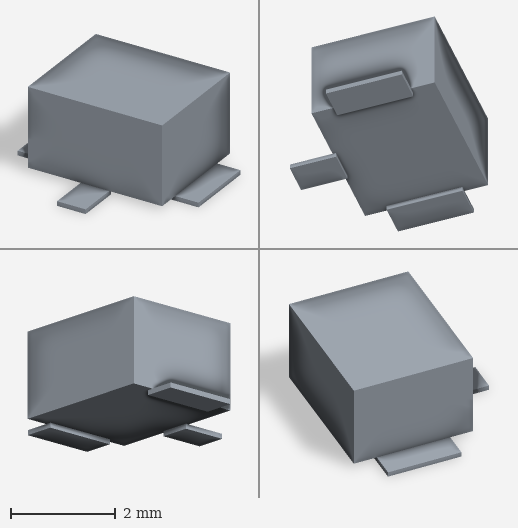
import cadquery as cq

overall_length = 4.04
overall_width = 3.37
overall_height = 1.85

housing_length = 3.0
housing_width = 2.5

terminal_thickness = 0.1
terminal_width = 0.64
side_terminal_length = 1.54
front_terminal_length = 0.937

housing_height = overall_height - terminal_thickness
front_terminal_tip_y = housing_width / 2 - overall_width
side_terminal_x = (overall_length - terminal_width) / 2


def make_housing():
    """Plain block resting on top of the terminals."""
    return (
        cq.Workplane("XY")
        .workplane(offset=terminal_thickness)
        .rect(housing_length, housing_width)
        .extrude(housing_height)
    )


def make_terminal(size_x, size_y, center_x, center_y):
    """Flat rectangular plate with its underside at Z = 0."""
    return (
        cq.Workplane("XY")
        .center(center_x, center_y)
        .rect(size_x, size_y)
        .extrude(terminal_thickness)
    )


housing = make_housing()

side_terminals = [
    make_terminal(terminal_width, side_terminal_length, side * side_terminal_x, 0)
    for side in (-1, 1)
]

front_terminal = make_terminal(
    terminal_width,
    front_terminal_length,
    0,
    front_terminal_tip_y + front_terminal_length / 2,
)

result = cq.Compound.makeCompound(
    [housing.val(), *[terminal.val() for terminal in side_terminals], front_terminal.val()]
)